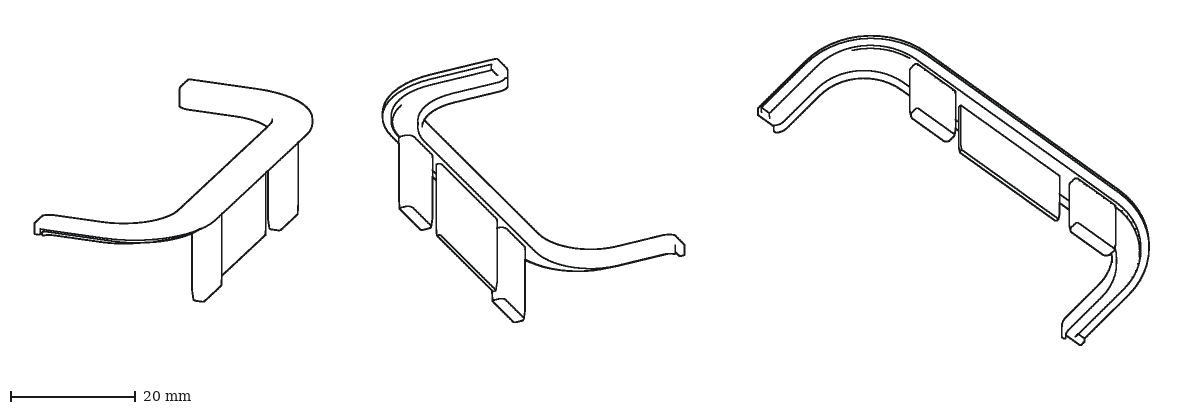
import cadquery as cq
import math

length = 68.0
width = 25.8
height = 15.0

plate_thickness = 0.95
plate_radius = 13.9

step_inset = 1.7
step_bottom = 2.05
step_radius = 11.3
step_end_block_length = 1.0

opening_depth = 19.25
opening_half_width = 29.3
opening_radius = 9.25
flare_length = 1.85
flare_width = 0.75

lip_bottom = 3.5
lip_thickness = 0.7
lip_flare_width = 1.1

tab_start_x = 21.75
tab_lead_in_height = 1.5
tab_lead_in = 0.2
middle_tab_thickness = 0.8
middle_tab_half_width = 10.4
middle_tab_radius = 0.5
side_tab_inner_y = 12.6
side_tab_outer_y = 21.1
side_tab_inner_radius = 0.95
side_tab_outer_radius = 1.15
side_tab_back_radius = 0.35

inner_top_radius = 0.5
edge_radius = 0.2

half_length = length / 2
step_depth = width - step_inset
side_tab_thickness = step_depth - tab_start_x
lead_in_angle = math.degrees(math.atan2(tab_lead_in, tab_lead_in_height))
tolerance = 0.01


def box(x0, x1, y0, y1, z0, z1):
    """Box between two opposite corners."""
    return cq.Workplane("XY").box(x1 - x0, y1 - y0, z1 - z0, centered=False).translate((x0, y0, z0))


def rounded_slab(depth, half_width, radius, bottom, end_length=0, end_flare=0):
    """Slab from Z = 0 down to the bottom, with round +X corners and optional flares at X = 0."""
    half_outline = (
        cq.Workplane("XY")
        .moveTo(depth, 0)
        .lineTo(depth, half_width - radius)
        .tangentArcPoint((depth - radius, half_width), relative=False)
        .lineTo(end_length, half_width)
    )
    if end_flare:
        half_outline = half_outline.tangentArcPoint((0, half_width + end_flare), relative=False)
    half_slab = half_outline.lineTo(0, 0).close().extrude(-bottom)
    return half_slab.union(half_slab.mirror("XZ"))


def make_frame():
    """Plate, step and lip with the opening cut through, before any edges are rounded."""
    plate = rounded_slab(width, half_length, plate_radius, plate_thickness)
    step = rounded_slab(step_depth, half_length - step_inset, step_radius, step_bottom)
    lip = rounded_slab(
        opening_depth + lip_thickness,
        opening_half_width + lip_thickness,
        opening_radius + lip_thickness,
        lip_bottom,
        flare_length,
        lip_flare_width,
    )
    step_ends = box(0, step_end_block_length, -half_length, half_length, -step_bottom, 0)
    opening = rounded_slab(
        opening_depth, opening_half_width, opening_radius, lip_bottom, flare_length, flare_width
    )
    return plate.union(step).union(lip).union(step_ends).cut(opening).clean()


def edges_within(x0, x1, half_y, z):
    """Selector for edges that lie wholly in a level strip centred on Y = 0."""
    return cq.selectors.BoxSelector(
        (x0 - tolerance, -half_y - tolerance, z - tolerance),
        (x1 + tolerance, half_y + tolerance, z + tolerance),
        boundingbox=True,
    )


def round_frame_edges(frame):
    """Round the inner top edge generously and all other top, bottom and end edges slightly."""
    inner_top = edges_within(0, opening_depth, opening_half_width + flare_width, 0)
    frame = frame.edges(inner_top).fillet(inner_top_radius)

    top_inside = edges_within(0, opening_depth + inner_top_radius, half_length - step_inset, 0)
    top_outside = edges_within(0, width, half_length, 0) - top_inside
    lip_half_width = opening_half_width + lip_thickness + lip_flare_width
    step_inside = edges_within(0, opening_depth + lip_thickness, lip_half_width, -step_bottom)
    step_outside = edges_within(0, width, half_length, -step_bottom) - step_inside
    end_edges = frame.faces("<X").edges()
    lip_edges = frame.faces("<Z").edges()
    slight_edges = end_edges.add(lip_edges).add(frame.edges(top_outside)).add(frame.edges(step_outside))
    return slight_edges.fillet(edge_radius)


def make_tab(thickness, y0, y1, radius0, radius1):
    """Tab with round -X corners and a tapered lead-in on every side but the flat +X back."""
    back_x = tab_start_x + thickness
    lead_in_z = tab_lead_in_height - height
    tab = box(tab_start_x, back_x + tab_lead_in, y0, y1, lead_in_z, -step_bottom)
    tab = tab.edges("|Z and <X and <Y").fillet(radius0)
    tab = tab.edges("|Z and <X and >Y").fillet(radius1)
    tab = tab.faces("<Z").wires().toPending().workplane().extrude(tab_lead_in_height, taper=lead_in_angle)
    return tab.intersect(box(tab_start_x, back_x, y0, y1, -height, -step_bottom))


frame = round_frame_edges(make_frame())
middle_tab = make_tab(
    middle_tab_thickness,
    -middle_tab_half_width,
    middle_tab_half_width,
    middle_tab_radius,
    middle_tab_radius,
)
side_tab = make_tab(
    side_tab_thickness,
    side_tab_inner_y,
    side_tab_outer_y,
    side_tab_inner_radius,
    side_tab_outer_radius,
)
side_tab = side_tab.faces(">X").edges("not |Y").fillet(side_tab_back_radius)
result = frame.union(middle_tab).union(side_tab).union(side_tab.mirror("XZ"))